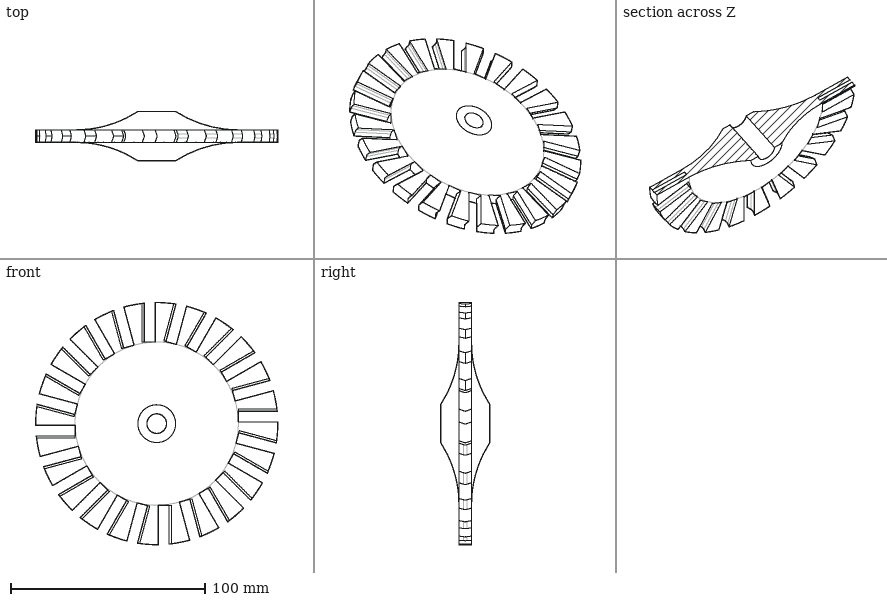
import cadquery as cq
import math

rim_radius = 62.4
rim_half_thickness = 3.2
hub_radius = 9.7
hub_half_length = 12.7
bore_radius = 5.0
disc_radius = 42.0
slot_count = 24

slot_left = -7.5
slot_width = 6.6
chevron_lean = math.radians(20)
trough_radius = 3.0
slot_overrun = 1.2


def flare_mid_point():
    """Middle of the concave flare, an arc tangent to the rim face at disc_radius."""
    run = disc_radius - hub_radius
    rise = hub_half_length - rim_half_thickness
    flare_radius = (run**2 + rise**2) / (2 * rise)
    half_sweep = math.atan2(rise, run)
    radial = disc_radius - flare_radius * math.sin(half_sweep)
    axial = rim_half_thickness + flare_radius * (1 - math.cos(half_sweep))
    return radial, axial


def make_wheel():
    """Revolve the hub, flared disc and rim about the Y axis."""
    radial, axial = flare_mid_point()
    return (
        cq.Workplane("XY")
        .moveTo(bore_radius, -hub_half_length)
        .lineTo(hub_radius, -hub_half_length)
        .threePointArc((radial, -axial), (disc_radius, -rim_half_thickness))
        .lineTo(rim_radius, -rim_half_thickness)
        .lineTo(rim_radius, rim_half_thickness)
        .lineTo(disc_radius, rim_half_thickness)
        .threePointArc((radial, axial), (hub_radius, hub_half_length))
        .lineTo(bore_radius, hub_half_length)
        .close()
        .revolve(360, (0, 0, 0), (0, 1, 0))
    )


def make_slot():
    """Chevron-section cutter with a flat floor at disc_radius and a rounded right side."""
    slot_right = slot_left + slot_width
    chevron_depth = rim_half_thickness * math.tan(chevron_lean)
    tangent_y = trough_radius * math.sin(chevron_lean)
    tangent_x = slot_right + chevron_depth - tangent_y * math.tan(chevron_lean)
    trough_x = tangent_x + trough_radius * (1 - math.cos(chevron_lean))
    return (
        cq.Workplane("XY", origin=(0, 0, disc_radius))
        .moveTo(slot_left, -rim_half_thickness)
        .lineTo(slot_right, -rim_half_thickness)
        .lineTo(tangent_x, -tangent_y)
        .threePointArc((trough_x, 0), (tangent_x, tangent_y))
        .lineTo(slot_right, rim_half_thickness)
        .lineTo(slot_left, rim_half_thickness)
        .lineTo(slot_left + chevron_depth, 0)
        .close()
        .extrude(rim_radius - disc_radius + slot_overrun)
    )


result = make_wheel()
slot = make_slot()
for index in range(slot_count):
    slot_angle = index * 360 / slot_count
    result = result.cut(slot.rotate((0, 0, 0), (0, 1, 0), slot_angle))